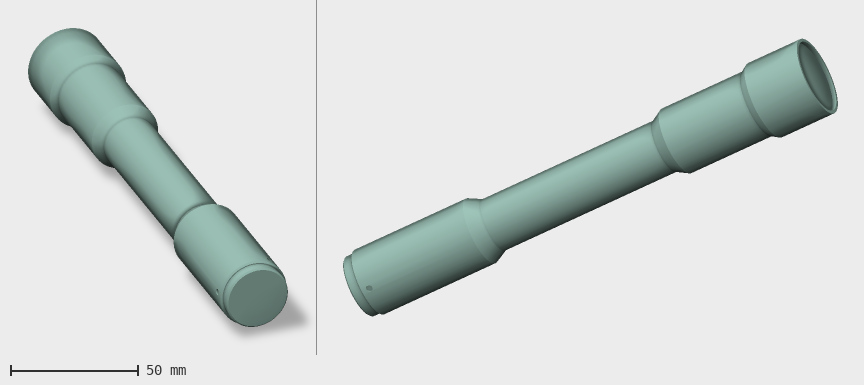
import cadquery as cq
import math

length = 208.0
head_end = 23.7
head_taper_end = 27.0
front_grip_end = 63.8
front_taper_end = 69.0
tube_end = 146.8
rear_grip_start = 152.6
tail_cap_end = 203.8

head_radius = 16.0
grip_radius = 14.0
tube_radius = 11.0
tail_button_radius = 12.9

tail_chamfer = 0.6

lens_radius = 14.8
lens_depth = 1.7

hole_count = 3
hole_radius = 1.2
hole_depth = 1.2
hole_x = 199.8
first_hole_angle = 54.4


def make_body():
    """Turned body revolved about the X axis."""
    outline = [
        (0, 0),
        (0, head_radius),
        (head_end, head_radius),
        (head_taper_end, grip_radius),
        (front_grip_end, grip_radius),
        (front_taper_end, tube_radius),
        (tube_end, tube_radius),
        (rear_grip_start, grip_radius),
        (tail_cap_end - tail_chamfer, grip_radius),
        (tail_cap_end, grip_radius - tail_chamfer),
        (tail_cap_end, tail_button_radius),
        (length - tail_chamfer, tail_button_radius),
        (length, tail_button_radius - tail_chamfer),
        (length, 0),
    ]
    return cq.Workplane("XY").polyline(outline).close().revolve(360, (0, 0, 0), (1, 0, 0))


def make_lens_recess():
    return cq.Workplane("YZ").circle(lens_radius).extrude(lens_depth)


def make_tail_hole(angle):
    """Radial cutter that enters the tail cap from outside."""
    radial = cq.Vector(0, math.cos(math.radians(angle)), math.sin(math.radians(angle)))
    floor_center = cq.Vector(hole_x, 0, 0) + radial * (grip_radius - hole_depth)
    cutter_height = 2 * hole_depth
    return cq.Workplane(obj=cq.Solid.makeCylinder(hole_radius, cutter_height, floor_center, radial))


result = make_body().cut(make_lens_recess())
for index in range(hole_count):
    result = result.cut(make_tail_hole(first_hole_angle + index * 360 / hole_count))